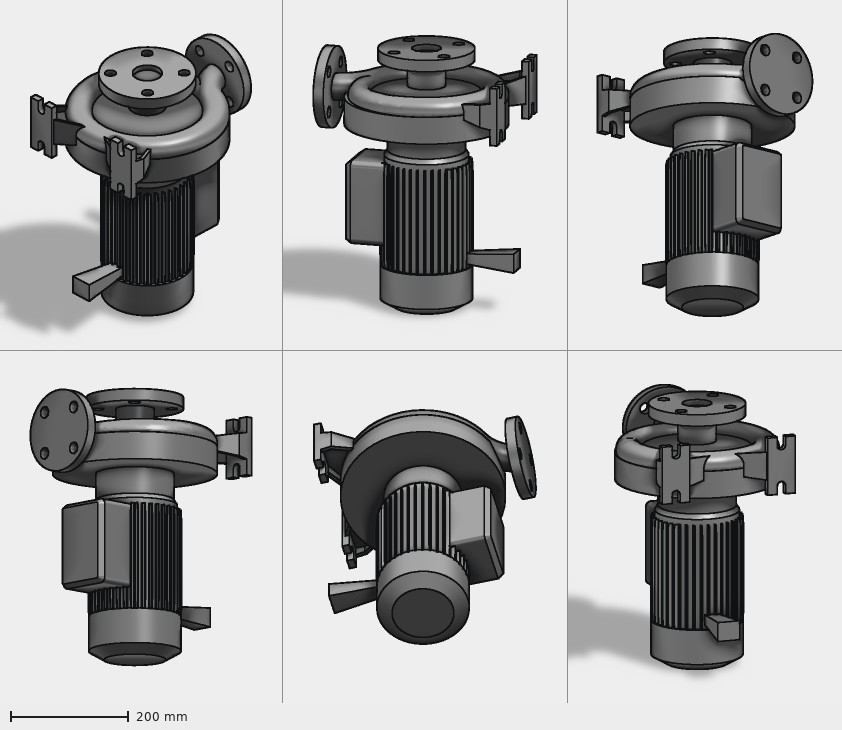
import cadquery as cq
import math


SUCTION_TOP_Z = 80.0
SUCTION_FLANGE_T = 20.0
SUCTION_FLANGE_R = 82.5
SUCTION_PIPE_R = 32.5
SUCTION_BOLT_CIRCLE_R = 62.5
SUCTION_BORE_R = 25.0
SUCTION_BORE_DEPTH = 10.0
COVER_INNER_Z = 15.0
COVER_OUTER_Z = 2.0
CASING_R = 140.0
CASING_EDGE_Z = -5.0
CASING_CHAMFER_HEIGHT = 1.0
CASING_CHAMFER_WIDTH = 3.3
CASING_BOTTOM_Z = -52.0
NECK_R = 66.5
NECK_BOTTOM_Z = -97.5
MOTOR_CORE_R = 72.0
MOTOR_CORE_TOP_Z = -106.0
COWL_R = 78.5
COWL_TOP_Z = -298.0
COWL_CONE_TOP_Z = -358.0
COWL_END_R = 52.5
MOTOR_BOTTOM_Z = -373.0

TUBE_R = 23.3
VOLUTE_R = CASING_R - TUBE_R
SPIRAL_END_TUBE_R = 18.0
SPIRAL_SECTIONS = 6

OUTLET_FACE_Y = 180.0
OUTLET_FLANGE_T = 18.0
OUTLET_FLANGE_R = 70.0
OUTLET_BOLT_CIRCLE_R = 50.0

BOLT_HOLE_D = 19.0
BOLT_COUNT = 4
BOLT_START_ANGLE = 45.0

FIN_TOP_Z = -116.0
FIN_T = 1.6
FIN_TIP_R = 78.9
FIN_END_RELIEF = 1.0
FIN_END_TAPER_LENGTH = 18.0
FINS_PER_GROUP = 10
FIN_PITCH_ANGLE = 9.0
FIN_ROOT_X = 40.0

BOX_HALF_WIDTH = 50.0
BOX_FACE_Y = 130.0
BOX_INNER_Y = 40.0
BOX_TOP_Z = FIN_TOP_Z
BOX_HEIGHT = 145.0
BOX_CORNER_R = 10.0
BOX_CHAMFER_DEPTH = 10.0
BOX_CHAMFER_INSET = 7.0

FOOT_Y = -160.0
FOOT_PLATE_T = 12.0
FOOT_INNER_X = 70.0
FOOT_OUTER_X = 120.0
FOOT_HALF_HEIGHT = 50.0
FOOT_SLOT_W = 14.5
FOOT_SLOT_DEPTH = 22.0
RIB_T = 6.0
RIB_BEND_Y = -130.0
OUTER_RIB_ANGLE = 62.0
INNER_RIB_ANGLE = 30.0
OUTER_RIB_LENGTH = 52.0
INNER_RIB_LENGTH = 60.0
RIB_ROOT_HALF_HEIGHT = 23.0
RIB_TAPER_ANGLE = 10.5
FOOT_FLOOR_HALF_T = 5.0

SUPPORT_WIDTH = 39.0
SUPPORT_HEIGHT = 33.0
SUPPORT_TAPER_ANGLE = 5.0
SUPPORT_LENGTH = 95.0


def polar(radius, angle):
    """Point at a radius and an angle in degrees."""
    return (radius * math.cos(math.radians(angle)), radius * math.sin(math.radians(angle)))


def make_body():
    """Suction flange and pipe, casing, neck, motor core and fan cowl as one turned solid."""
    casing_top_z = CASING_EDGE_Z + CASING_CHAMFER_HEIGHT
    profile = [
        (0, SUCTION_TOP_Z),
        (SUCTION_FLANGE_R, SUCTION_TOP_Z),
        (SUCTION_FLANGE_R, SUCTION_TOP_Z - SUCTION_FLANGE_T),
        (SUCTION_PIPE_R, SUCTION_TOP_Z - SUCTION_FLANGE_T),
        (SUCTION_PIPE_R, COVER_INNER_Z),
        (VOLUTE_R - TUBE_R / 2, COVER_OUTER_Z),
        (VOLUTE_R - TUBE_R / 2, casing_top_z),
        (CASING_R - CASING_CHAMFER_WIDTH, casing_top_z),
        (CASING_R, CASING_EDGE_Z),
        (CASING_R, CASING_BOTTOM_Z),
        (NECK_R, CASING_BOTTOM_Z),
        (NECK_R, NECK_BOTTOM_Z),
        (MOTOR_CORE_R, MOTOR_CORE_TOP_Z),
        (MOTOR_CORE_R, COWL_TOP_Z),
        (COWL_R, COWL_TOP_Z),
        (COWL_R, COWL_CONE_TOP_Z),
        (COWL_END_R, MOTOR_BOTTOM_Z),
        (0, MOTOR_BOTTOM_Z),
    ]
    return cq.Workplane("XZ").polyline(profile).close().revolve(360, (0, 0, 0), (0, 1, 0))


def make_volute():
    """Round tube around the casing, bending back to meet the outlet flange squarely."""
    bend_r = (OUTLET_FACE_Y**2 - VOLUTE_R**2) / (2 * VOLUTE_R)
    bend_start = math.degrees(math.atan2(OUTLET_FACE_Y, bend_r))

    ring = (
        cq.Workplane("XZ")
        .center(-VOLUTE_R, 0)
        .circle(TUBE_R)
        .revolve(180 + bend_start, (VOLUTE_R, 0, 0), (VOLUTE_R, 1, 0))
    )
    bend = (
        cq.Workplane("XZ", origin=(0, OUTLET_FACE_Y, 0))
        .circle(TUBE_R)
        .revolve(bend_start, (bend_r, 0, 0), (bend_r, 1, 0))
    )
    return ring.union(bend).union(make_spiral(bend_start))


def make_spiral(end_angle):
    """Part of the tube that narrows towards its tongue, keeping the inner edge in place."""
    inner_r = VOLUTE_R - TUBE_R
    sections = []
    for index in range(SPIRAL_SECTIONS):
        fraction = index / (SPIRAL_SECTIONS - 1)
        angle = 180 + (end_angle - 180) * fraction
        section_r = TUBE_R + (SPIRAL_END_TUBE_R - TUBE_R) * fraction
        x, y = polar(inner_r + section_r, angle)
        tangent_x, tangent_y = polar(1, angle - 90)
        center = cq.Vector(x, y, 0)
        normal = cq.Vector(tangent_x, tangent_y, 0)
        sections.append(cq.Wire.makeCircle(section_r, center, normal))
    return cq.Workplane(obj=cq.Solid.makeLoft(sections))


def bolt_holes(workplane, bolt_circle_r, depth):
    """Cylinders for the ring of flange bolt holes."""
    return (
        workplane.polarArray(bolt_circle_r, BOLT_START_ANGLE, 360, BOLT_COUNT)
        .circle(BOLT_HOLE_D / 2)
        .extrude(depth)
    )


def make_outlet_flange():
    face = cq.Workplane("XZ", origin=(0, OUTLET_FACE_Y, 0))
    flange = face.circle(OUTLET_FLANGE_R).extrude(OUTLET_FLANGE_T)
    return flange.cut(bolt_holes(face, OUTLET_BOLT_CIRCLE_R, OUTLET_FLANGE_T))


def make_suction_cuts():
    """Bolt holes and the shallow bore of the suction flange."""
    face = cq.Workplane("XY", origin=(0, 0, SUCTION_TOP_Z))
    bore = face.circle(SUCTION_BORE_R).extrude(-SUCTION_BORE_DEPTH)
    return bolt_holes(face, SUCTION_BOLT_CIRCLE_R, -SUCTION_FLANGE_T).union(bore)


def make_fin(angle):
    """Thin fin along +X, placed so that its tip sits on the fin circle at the given angle."""
    tip_x, offset_y = polar(FIN_TIP_R, angle)
    end_x = tip_x - FIN_END_RELIEF
    return (
        cq.Workplane("XZ", origin=(0, offset_y - FIN_T / 2, 0))
        .polyline([
            (FIN_ROOT_X, FIN_TOP_Z),
            (end_x, FIN_TOP_Z),
            (tip_x, FIN_TOP_Z - FIN_END_TAPER_LENGTH),
            (tip_x, COWL_TOP_Z + FIN_END_TAPER_LENGTH),
            (end_x, COWL_TOP_Z),
            (FIN_ROOT_X, COWL_TOP_Z),
        ])
        .close()
        .extrude(-FIN_T)
    )


def make_fins():
    """Four groups of parallel fins whose tips are spread evenly around the motor."""
    fins = cq.Workplane("XY")
    for turn in (0, 90, 180, 270):
        for index in range(FINS_PER_GROUP):
            angle = (index - (FINS_PER_GROUP - 1) / 2) * FIN_PITCH_ANGLE
            fin = make_fin(angle).rotate((0, 0, 0), (0, 0, 1), turn)
            fins = fins.add(fin)
    return fins.combine()


def make_terminal_box():
    length = BOX_FACE_Y - BOX_INNER_Y
    box = (
        cq.Workplane("XY", origin=(0, BOX_INNER_Y + length / 2, BOX_TOP_Z - BOX_HEIGHT / 2))
        .box(2 * BOX_HALF_WIDTH, length, BOX_HEIGHT)
        .edges("|Y")
        .fillet(BOX_CORNER_R)
    )
    return box.faces(">Y").chamfer(BOX_CHAMFER_INSET, BOX_CHAMFER_DEPTH)


def make_foot_plate():
    """Foot plate with an open slot at its upper and lower ends."""
    middle_x = (FOOT_INNER_X + FOOT_OUTER_X) / 2
    plate = (
        cq.Workplane("XZ", origin=(middle_x, FOOT_Y, 0))
        .rect(FOOT_OUTER_X - FOOT_INNER_X, 2 * FOOT_HALF_HEIGHT)
        .extrude(-FOOT_PLATE_T)
    )
    for end_z in (-FOOT_HALF_HEIGHT, FOOT_HALF_HEIGHT):
        slot = (
            cq.Workplane("XZ", origin=(middle_x, FOOT_Y, end_z))
            .slot2D(2 * FOOT_SLOT_DEPTH, FOOT_SLOT_W, 90)
            .extrude(-FOOT_PLATE_T)
        )
        plate = plate.cut(slot)
    return plate


def make_foot():
    """Foot on the +X side: slotted plate, two tapered ribs and a floor between them."""
    plate_top_y = FOOT_Y + FOOT_PLATE_T

    outer_dx, outer_dy = polar(OUTER_RIB_LENGTH, 180 - OUTER_RIB_ANGLE)
    inner_dx, inner_dy = polar(INNER_RIB_LENGTH, 180 - INNER_RIB_ANGLE)
    inner_start_y = plate_top_y - RIB_T / math.cos(math.radians(INNER_RIB_ANGLE))
    outline = [
        (FOOT_OUTER_X, plate_top_y),
        (FOOT_OUTER_X, RIB_BEND_Y),
        (FOOT_OUTER_X + outer_dx, RIB_BEND_Y + outer_dy),
        (FOOT_INNER_X + inner_dx, inner_start_y + inner_dy),
        (FOOT_INNER_X, inner_start_y),
        (FOOT_INNER_X, plate_top_y),
    ]
    floor = extrude_plan(outline, FOOT_FLOOR_HALF_T)

    bend_offset = RIB_T * math.tan(math.radians((90 - OUTER_RIB_ANGLE) / 2))
    outer_shift_x = -RIB_T * math.sin(math.radians(OUTER_RIB_ANGLE))
    outer_shift_y = -RIB_T * math.cos(math.radians(OUTER_RIB_ANGLE))
    inner_shift = plate_top_y - inner_start_y
    between = [
        (FOOT_OUTER_X - RIB_T, plate_top_y),
        (FOOT_OUTER_X - RIB_T, RIB_BEND_Y - bend_offset),
        (FOOT_OUTER_X + outer_dx + outer_shift_x, RIB_BEND_Y + outer_dy + outer_shift_y),
        (FOOT_INNER_X + inner_dx, inner_start_y + inner_dy + inner_shift),
        (FOOT_INNER_X, plate_top_y),
    ]
    ribs = extrude_plan(outline, FOOT_HALF_HEIGHT).cut(extrude_plan(between, FOOT_HALF_HEIGHT))
    return make_foot_plate().union(floor).union(ribs.intersect(make_rib_wedge(plate_top_y)))


def extrude_plan(points, half_height):
    """Prism over an XY outline, centred on z = 0."""
    return cq.Workplane("XY").polyline(points).close().extrude(half_height, both=True)


def make_rib_wedge(plate_top_y):
    """Wedge in the YZ plane that tapers the ribs away from the foot plate."""
    slope = math.tan(math.radians(RIB_TAPER_ANGLE))
    tip_y = plate_top_y + RIB_ROOT_HALF_HEIGHT / slope
    foot_half = slope * (tip_y - FOOT_Y)
    return (
        cq.Workplane("YZ")
        .polyline([(FOOT_Y, -foot_half), (FOOT_Y, foot_half), (tip_y, 0)])
        .close()
        .extrude(FOOT_OUTER_X)
    )


def make_support():
    """Tapered block that carries the motor, narrowing from the foot plane to the fins."""
    return (
        cq.Workplane("XZ", origin=(0, FOOT_Y, COWL_TOP_Z + SUPPORT_HEIGHT / 2))
        .rect(SUPPORT_WIDTH, SUPPORT_HEIGHT)
        .extrude(-SUPPORT_LENGTH, taper=SUPPORT_TAPER_ANGLE)
    )


foot = make_foot()
result = (
    make_body()
    .union(make_volute())
    .union(make_outlet_flange())
    .union(make_fins())
    .union(make_terminal_box())
    .union(foot)
    .union(foot.mirror("YZ"))
    .union(make_support())
    .cut(make_suction_cuts())
)